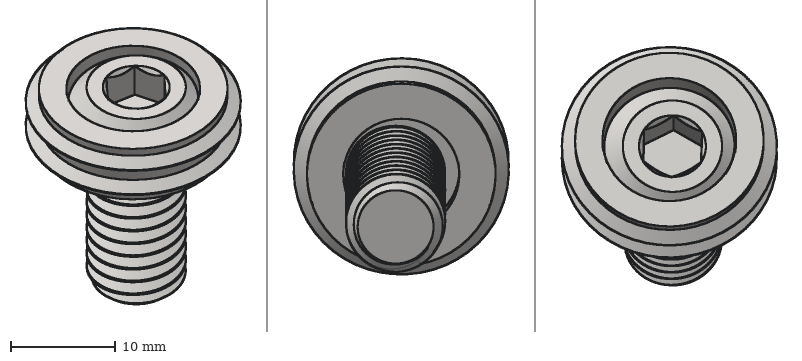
import cadquery as cq
import math

INCH = 25.4

ring_height = 6.30
ridge_diameter = 0.8125 * INCH
ridge_depth = 0.05 * INCH
ridge_spacing = 3.02
ridge_half_angle = 30
ridge_tip_width = 0.10
ring_wall_radius = ridge_diameter / 2 - ridge_depth
bore_radius = 6.41
ledge_thickness = 1.65

eccentricity = 0.025 * INCH
thread_radius = 0.375 * INCH / 2
pitch = INCH / 16
overall_height = 24.38
tip_height = ring_height - overall_height
shank_length = ledge_thickness - tip_height
end_chamfer = 1.12
crest_width = pitch / 8
root_width = pitch / 8
flank_slope = math.tan(math.radians(30))
thread_depth = (pitch - crest_width - root_width) / 2 / flank_slope
groove_phase = 0.1

head_radius = 6.24
head_recess = 0.30
head_top = ring_height - head_recess
head_height = head_top - ledge_thickness
head_flat_radius = thread_radius
bevel_angle = 40
head_clearance = bore_radius - head_radius
ledge_hole_radius = thread_radius + eccentricity + head_clearance

hex_across_flats = 7 / 32 * INCH
hex_corner_radius = hex_across_flats / 2 / math.cos(math.radians(30))
hex_depth = 3.6


def v_ridge(ridge_height):
    """Ring of V section standing out from the ring's outside wall."""
    tip_radius = ridge_diameter / 2
    half_tip = ridge_tip_width / 2
    half_base = half_tip + ridge_depth * math.tan(math.radians(ridge_half_angle))
    return (
        cq.Workplane("XZ")
        .moveTo(bore_radius, ridge_height - half_base)
        .lineTo(ring_wall_radius, ridge_height - half_base)
        .lineTo(tip_radius, ridge_height - half_tip)
        .lineTo(tip_radius, ridge_height + half_tip)
        .lineTo(ring_wall_radius, ridge_height + half_base)
        .lineTo(bore_radius, ridge_height + half_base)
        .close()
        .revolve(360, (0, 0, 0), (0, 1, 0))
    )


def make_ring():
    """Ring standing on Z = 0, with a counterbore for the head and a hole for the shank."""
    ring = cq.Workplane("XY").circle(ring_wall_radius).circle(ledge_hole_radius).extrude(ring_height)
    counterbore = (
        cq.Workplane("XY")
        .workplane(offset=ledge_thickness)
        .circle(bore_radius)
        .extrude(ring_height - ledge_thickness)
    )
    ring = ring.cut(counterbore)
    for side in (-1, 1):
        ring = ring.union(v_ridge(ring_height / 2 + side * ridge_spacing / 2))
    return ring


def thread_groove():
    """Right-hand helical cutter, started below the tip and ended just under the head."""
    overcut = 0.2
    end_gap = 0.1
    root_radius = thread_radius - thread_depth
    outer_radius = thread_radius + overcut
    half_root = root_width / 2
    half_mouth = half_root + (outer_radius - root_radius) * flank_slope
    start = tip_height + groove_phase - 2 * pitch
    end = ledge_thickness - half_mouth - end_gap
    helix = cq.Wire.makeHelix(pitch, end - start, thread_radius, cq.Vector(0, 0, start))
    return (
        cq.Workplane("XZ")
        .moveTo(root_radius, start - half_root)
        .lineTo(outer_radius, start - half_mouth)
        .lineTo(outer_radius, start + half_mouth)
        .lineTo(root_radius, start + half_root)
        .close()
        .sweep(cq.Workplane(helix), isFrenet=True)
    )


def make_shank():
    """Plain shank blank with its chamfered tip."""
    return (
        cq.Workplane("XY")
        .workplane(offset=tip_height)
        .circle(thread_radius)
        .extrude(shank_length)
        .faces("<Z")
        .chamfer(end_chamfer)
    )


def make_head():
    """Round head about the ring axis, bevelled about the screw axis."""
    head = (
        cq.Workplane("XY")
        .workplane(offset=ledge_thickness)
        .center(0, -eccentricity)
        .circle(head_radius)
        .extrude(head_height)
    )
    cone_base_radius = head_flat_radius + head_height / math.tan(math.radians(bevel_angle))
    head_base = cq.Vector(0, 0, ledge_thickness)
    bevel = cq.Solid.makeCone(cone_base_radius, head_flat_radius, head_height, head_base)
    return head.intersect(cq.Workplane("XY").add(bevel))


def hex_socket():
    """Hexagon socket with a 45 degree countersunk mouth."""
    socket = (
        cq.Workplane("XY")
        .workplane(offset=head_top - hex_depth)
        .polygon(6, 2 * hex_corner_radius)
        .extrude(hex_depth)
    )
    mouth_depth = hex_corner_radius
    mouth = cq.Solid.makeCone(
        hex_corner_radius, 0, mouth_depth, cq.Vector(0, 0, head_top), cq.Vector(0, 0, -1)
    )
    return socket.union(cq.Workplane("XY").add(mouth))


def make_screw():
    """Screw built on its own axis, then moved off the ring axis."""
    blank = make_head().union(make_shank()).cut(hex_socket())
    return blank.cut(thread_groove()).translate((0, eccentricity, 0))


ring = make_ring()
screw = make_screw()

result = cq.Compound.makeCompound([ring.solids().val(), screw.solids().val()])